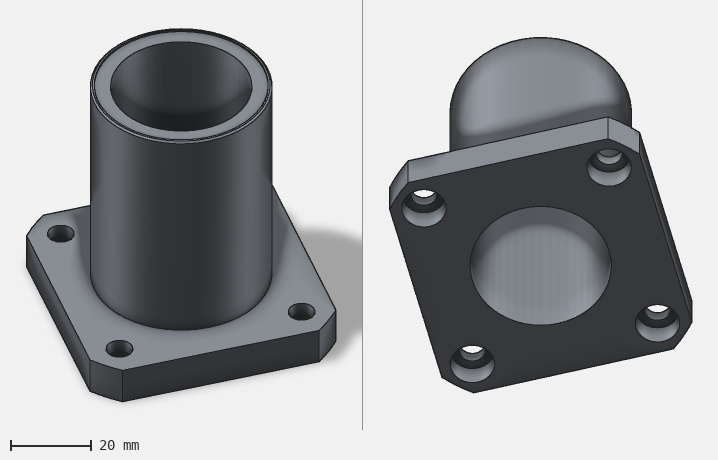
import cadquery as cq

total_height = 70.0
flange_width = 64.0
flange_thickness = 10.0
corner_circle_diameter = 81.9
sleeve_diameter = 45.0
bore_diameter = 35.0
bolt_hole_diameter = 6.6
bolt_spacing = 47.4
counterbore_diameter = 11.0
counterbore_depth = 6.5

rim_chamfer = 0.5
rim_land_width = 0.5
seal_recess_depth = 0.5

recess_diameter = sleeve_diameter - 2 * (rim_chamfer + rim_land_width)


def make_flange():
    """Square plate whose corners are rounded off by one circle about the axis."""
    plate = cq.Workplane("XY").rect(flange_width, flange_width).extrude(flange_thickness)
    corner_limit = cq.Workplane("XY").circle(corner_circle_diameter / 2).extrude(flange_thickness)
    return plate.intersect(corner_limit)


def make_sleeve():
    """Cylinder standing on the base plane, with its top outer edge chamfered."""
    sleeve = cq.Workplane("XY").circle(sleeve_diameter / 2).extrude(total_height)
    return sleeve.faces(">Z").edges().chamfer(rim_chamfer)


def make_seal_recess():
    """Shallow round recess that leaves a narrow raised rim at the top of the sleeve."""
    recess_floor = cq.Workplane("XY").workplane(offset=total_height - seal_recess_depth)
    return recess_floor.circle(recess_diameter / 2).extrude(seal_recess_depth)


def make_bolt_holes():
    """Four through holes on a square pattern, counterbored from the underside of the flange."""
    pattern = cq.Workplane("XY").rect(bolt_spacing, bolt_spacing, forConstruction=True).vertices()
    through_holes = pattern.circle(bolt_hole_diameter / 2).extrude(flange_thickness)
    counterbores = pattern.circle(counterbore_diameter / 2).extrude(counterbore_depth)
    return through_holes.union(counterbores)


bore = cq.Workplane("XY").circle(bore_diameter / 2).extrude(total_height)

result = (
    make_flange()
    .union(make_sleeve())
    .cut(make_seal_recess())
    .cut(bore)
    .cut(make_bolt_holes())
)